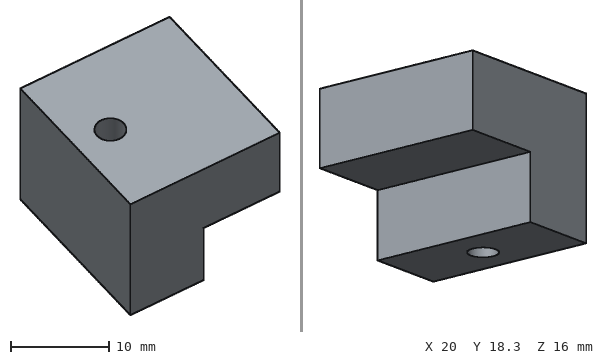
import cadquery as cq

width = 20.0
depth = 18.3
height = 16.0

leg_depth = 9.0
top_thickness = 8.5

hole_diameter = 3.25
hole_from_front = 4.3

step_height = height - top_thickness
profile = [
    (0, 0),
    (leg_depth, 0),
    (leg_depth, step_height),
    (depth, step_height),
    (depth, height),
    (0, height),
]
body = cq.Workplane("YZ").polyline(profile).close().extrude(width / 2, both=True)

hole = (
    cq.Workplane("XY")
    .center(0, hole_from_front)
    .circle(hole_diameter / 2)
    .extrude(height)
)

result = body.cut(hole)